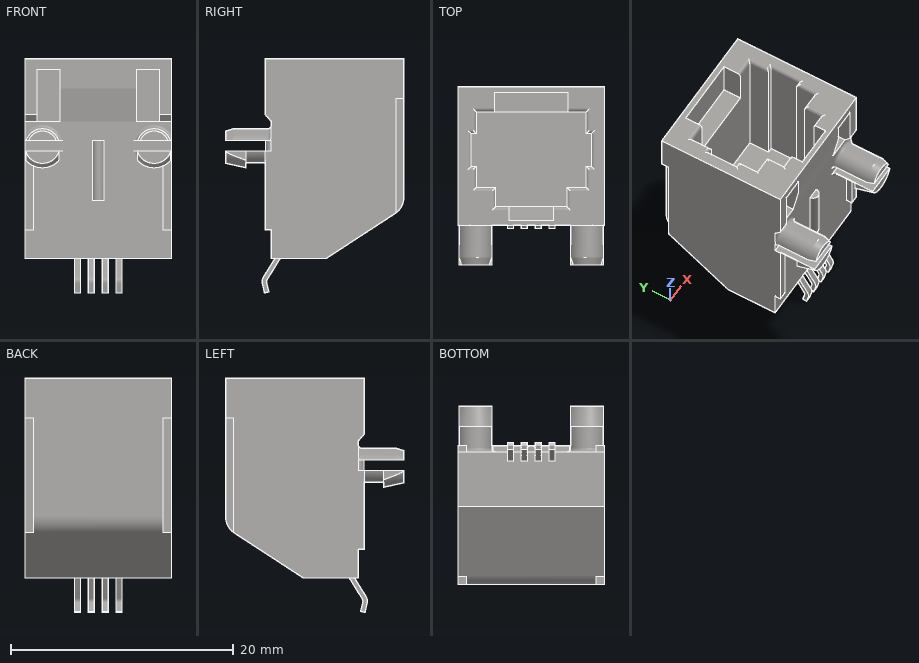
import cadquery as cq
import math

width = 13.2
depth = 12.5
height = 18.02
recess_depth = 0.55
lip_bottom = 12.35
lip_chamfer_rise = 0.63
slope_start = 5.5
slope_angle = 33.1
slope_round = 1.75

strip_width = 0.78
strip_bottom = 2.58
rebate_depth = 0.72
rebate_top = 14.43

cavity_floor = 5.5
mouth_round = 0.34
main_half_width = 4.95
main_front = 3.42
main_back = 10.23
guide_half_width = 5.4
guide_front = 5.32
guide_back = 8.26
latch_half_width = 3.21
latch_front = 1.7
rear_pocket_half_width = 3.32
rear_pocket_back = 11.95
latch_slot_half_width = 2.0
latch_slot_front = 0.46
tongue_slope_top = 15.3

window_inner = 3.47
window_outer = 5.51
window_top = 17.03
window_depth = 2.5

peg_x = 5.03
peg_z = 10.16
peg_radius = 1.55
peg_length = 3.57
peg_root_round = 0.32
peg_embed = 0.21
peg_slot_bottom = 9.7
peg_slot_top = 10.63
peg_nose_length = 0.68
peg_nose_radius = 1.33
barb_start = 1.73
barb_half_width = 1.5
barb_radius = 1.99
barb_tip_radius = 1.58

rib_radius = 0.53
rib_bottom = 5.22

leg_count = 4
leg_pitch = 1.25
leg_width = 0.57
leg_thickness = 0.42
leg_root_y = 0.87
leg_lean = 31.8
leg_return = 13.3
leg_bend_drop = 1.95
leg_bend_round = 0.85
leg_drop = 3.1
leg_embed = 0.63


def box(x0, x1, y0, y1, z0, z1):
    return cq.Workplane("XY").box(x1 - x0, y1 - y0, z1 - z0, centered=False).translate((x0, y0, z0))


def side_profile(points, half_width):
    """Extrude a (Y, Z) outline symmetrically about X = 0."""
    return cq.Workplane("YZ").polyline(points).close().extrude(half_width, both=True)


def y_revolve(points):
    """Turn an outline of (radius, Y) points about the Y axis."""
    return cq.Workplane("XY").polyline(points).close().revolve(360, (0, 0, 0), (0, 1, 0))


def both_sides(shape):
    return shape.union(shape.mirror("YZ"))


def housing_body():
    corner_z = (depth - slope_start) * math.tan(math.radians(slope_angle))
    outline = [
        (0, height),
        (depth, height),
        (depth, corner_z),
        (slope_start, 0),
        (recess_depth, 0),
        (recess_depth, lip_bottom),
        (0, lip_bottom + lip_chamfer_rise),
    ]
    body = side_profile(outline, width / 2)
    corner = cq.selectors.NearestToPointSelector((0, depth, corner_z))
    return body.edges("|X").edges(corner).fillet(slope_round)


def front_strips():
    return both_sides(
        box(width / 2 - strip_width, width / 2, 0, recess_depth, strip_bottom, peg_slot_bottom)
    )


def rear_rebates():
    return both_sides(box(width / 2 - strip_width, width / 2, depth - rebate_depth, depth, 0, rebate_top))


def cut_cavity(body):
    """Cut the plug cavity and round its rim; the later pockets cut through the rounding."""
    right_half = [
        (latch_half_width, latch_front),
        (latch_half_width, main_front),
        (main_half_width, main_front),
        (main_half_width, guide_front),
        (guide_half_width, guide_front),
        (guide_half_width, guide_back),
        (main_half_width, guide_back),
        (main_half_width, main_back),
    ]
    left_half = [(-x, y) for x, y in reversed(right_half)]
    cavity = (
        cq.Workplane("XY")
        .workplane(offset=cavity_floor)
        .polyline(right_half + left_half)
        .close()
        .extrude(height - cavity_floor)
    )
    body = body.cut(cavity)
    margin = 0.21
    inside_rim = cq.selectors.BoxSelector(
        (margin - width / 2, margin, height - margin),
        (width / 2 - margin, depth - margin, height + margin),
    )
    return body.edges(inside_rim).fillet(mouth_round)


def rear_pocket():
    return box(
        -rear_pocket_half_width, rear_pocket_half_width, main_back - mouth_round, rear_pocket_back,
        rebate_top, height,
    )


def latch_slot():
    outline = [
        (latch_slot_front, height),
        (latch_slot_front, tongue_slope_top),
        (latch_front, lip_bottom),
        (latch_front, height),
    ]
    return side_profile(outline, latch_slot_half_width)


def front_windows():
    return both_sides(box(window_inner, window_outer, 0, window_depth, lip_bottom, window_top))


def tongue_relief():
    """Wedge that slopes the tongue back to the recessed front face."""
    outline = [(0, tongue_slope_top), (recess_depth, lip_bottom), (0, lip_bottom)]
    return side_profile(outline, window_inner)


def peg():
    """Split peg along -Y with its axis through the origin: plain upper half, barbed lower half."""
    reach = peg_length + recess_depth + peg_embed
    centre_y = recess_depth + peg_embed - reach / 2
    above = cq.Workplane("XY").box(4 * peg_radius, reach, 2 * peg_radius).translate(
        (0, centre_y, peg_slot_top - peg_z + peg_radius)
    )
    below = cq.Workplane("XY").box(2 * barb_half_width, reach, 4 * peg_radius).translate(
        (0, centre_y, peg_slot_bottom - peg_z - 2 * peg_radius)
    )
    plain = y_revolve([
        (0, recess_depth + peg_embed),
        (peg_radius, recess_depth + peg_embed),
        (peg_radius, peg_nose_length - peg_length),
        (peg_nose_radius, -peg_length),
        (0, -peg_length),
    ])
    barbed = y_revolve([
        (0, recess_depth + peg_embed),
        (peg_radius, recess_depth + peg_embed),
        (peg_radius, -barb_start),
        (barb_radius, -barb_start),
        (barb_tip_radius, -peg_length),
        (0, -peg_length),
    ])
    return plain.intersect(above).union(barbed.intersect(below))


def peg_root():
    """Flared foot of a peg, split by the same slot and trimmed flush with the housing side."""
    foot_radius = peg_radius + peg_root_round
    foot_front = recess_depth - peg_root_round
    middle = math.sqrt(0.5) * peg_root_round
    foot = (
        cq.Workplane("XY")
        .moveTo(0, recess_depth + peg_embed)
        .lineTo(foot_radius, recess_depth + peg_embed)
        .lineTo(foot_radius, recess_depth)
        .threePointArc((foot_radius - middle, foot_front + middle), (peg_radius, foot_front))
        .lineTo(0, foot_front)
        .close()
        .revolve(360, (0, 0, 0), (0, 1, 0))
        .translate((peg_x, 0, peg_z))
    )
    slot = box(0, width, 0, recess_depth, peg_slot_bottom, peg_slot_top)
    return foot.intersect(box(0, width / 2, 0, depth, 0, height)).cut(slot)


def centre_rib():
    return (
        cq.Workplane("XY")
        .workplane(offset=rib_bottom)
        .center(0, recess_depth)
        .circle(rib_radius)
        .extrude(peg_slot_top - rib_bottom)
    )


def contact_leg():
    """Bent leg of constant thickness, centred on X = 0."""
    lean = math.radians(leg_lean)
    back = math.radians(leg_return)
    outer_bend_y = leg_root_y - leg_bend_drop * math.tan(lean)
    half_turn = (lean + back) / 2
    bisector = (lean - back) / 2
    miter = leg_thickness / math.cos(half_turn)
    inner_bend_y = outer_bend_y + miter * math.cos(bisector)
    inner_bend_z = -leg_bend_drop - miter * math.sin(bisector)
    tip_y = outer_bend_y + (leg_drop - leg_bend_drop) * math.tan(back)
    outline = [
        (leg_root_y + leg_embed * math.tan(lean), leg_embed),
        (outer_bend_y, -leg_bend_drop),
        (tip_y, -leg_drop),
        (tip_y + leg_thickness * math.cos(back), leg_thickness * math.sin(back) - leg_drop),
        (inner_bend_y, inner_bend_z),
        (leg_root_y + leg_embed * math.tan(lean) + leg_thickness / math.cos(lean), leg_embed),
    ]
    leg = side_profile(outline, leg_width / 2)
    outer_bend = cq.selectors.NearestToPointSelector((0, outer_bend_y, -leg_bend_drop))
    inner_bend = cq.selectors.NearestToPointSelector((0, inner_bend_y, inner_bend_z))
    leg = leg.edges("|X").edges(outer_bend).fillet(leg_bend_round)
    return leg.edges("|X").edges(inner_bend).fillet(leg_bend_round - leg_thickness)


housing = cut_cavity(housing_body())
for pocket in (rear_rebates(), rear_pocket(), latch_slot(), front_windows(), tongue_relief()):
    housing = housing.cut(pocket)

result = housing.union(front_strips()).union(centre_rib()).union(both_sides(peg_root()))
result = result.union(both_sides(peg().translate((peg_x, 0, peg_z))))
for index in range(leg_count):
    result = result.union(contact_leg().translate(((index - (leg_count - 1) / 2) * leg_pitch, 0, 0)))